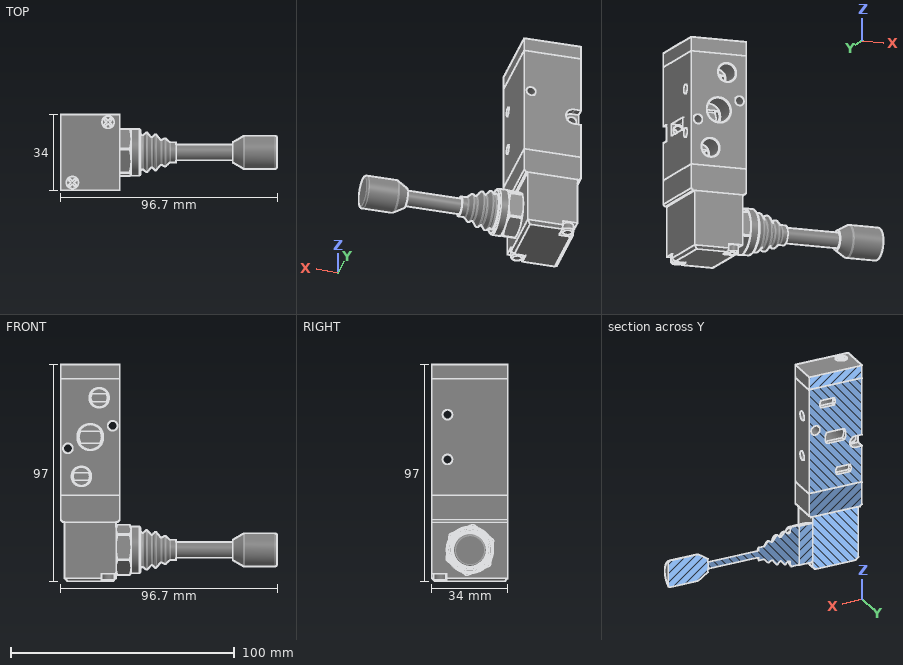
import cadquery as cq
import math

total_height = 97.0
block_width = 26.5
block_depth = 34.0
lever_reach = 96.7

cap_bottom_z = 90.5
spacer_top_z = 38.5
housing_top_z = 26.5
spacer_chamfer = 1.0

housing_width = 23.1
housing_chamfer = 1.5
housing_front_x = housing_width / 2
lever_axis_z = 14.1

screw_radius = 2.7
screw_offset_x = 8.0
screw_offset_y = 13.5
cross_length = 3.9
cross_width = 1.0
cross_depth = 1.0
cross_turn = 45.0
foot_height = 3.5
foot_chamfer = 0.7
foot_pocket_clearance = 0.4

port_centre_z = 64.5
small_port_offset_x = 4.0
small_port_offset_z = 17.6
port_depth = 12.0
port_passage_depth = 3.9
port_chamfer = 0.3
large_port_radius = 5.6
large_passage_radius = 5.0
large_passage_height = 5.3
small_port_radius = 4.2
small_passage_radius = 3.7
small_passage_height = 3.4

hole_radius = 2.1
mount_offset_x = 10.0
mount_offset_z = 5.0
side_hole_offset_z = 10.0
side_hole_y = -10.0

slot_radius = 2.7
slot_length = 14.0
notch_radius = 3.8
notch_length = 4.0

nut_length = 6.7
nut_across_flats = 20.0
nut_corner_radius = 11.35
nut_chamfer = 0.6
nut_turn = 7.3
nut_end_x = housing_front_x + nut_length

collar_radius = 10.5
collar_length = 4.4
collar_chamfer = 0.7
bellows_root_radius = 8.1
bellows_points = [
    (5.2, 7.6),
    (7.0, 9.1),
    (9.2, 6.6),
    (11.0, 8.3),
    (13.4, 5.4),
    (15.2, 6.5),
    (17.4, 4.6),
]
bellows_fillet = 0.4
bellows_end = 20.1
rod_radius = 3.6

knob_radius = 7.5
knob_tip_radius = 4.6
knob_length = 19.9
knob_cone_length = 5.0
knob_fillet = 1.0
knob_end_x = lever_reach - block_width / 2
knob_start_x = knob_end_x - knob_length


def block(width, bottom_z, top_z):
    """Rectangular block of full depth between two heights."""
    height = top_z - bottom_z
    return cq.Workplane("XY", origin=(0, 0, bottom_z)).box(
        width, block_depth, height, centered=(True, True, False)
    )


def cylinder_along_x(radius, start_x, length, y, z):
    return cq.Workplane("YZ", origin=(start_x, y, z)).circle(radius).extrude(length)


def cylinder_along_y(radius, start_y, length, x, z):
    return cq.Workplane("XZ", origin=(x, start_y, z)).circle(radius).extrude(-length)


def revolve_about_lever(profile):
    """Turn an (X, radius) outline into a solid around the lever axis."""
    axis_plane = cq.Workplane("XZ", origin=(0, 0, lever_axis_z))
    return axis_plane.polyline(profile).close().revolve(360, (0, 0, 0), (1, 0, 0))


top_screw_points = [
    (screw_offset_x, screw_offset_y),
    (-screw_offset_x, -screw_offset_y),
]


def make_top_screw(x, y):
    """Flush screw with a cross recess, as deep as the cap."""
    screw = (
        cq.Workplane("XY", origin=(x, y, cap_bottom_z))
        .circle(screw_radius)
        .extrude(total_height - cap_bottom_z)
    )
    for turn in (cross_turn, cross_turn + 90):
        arm = (
            cq.Workplane("XY", origin=(x, y, total_height - cross_depth))
            .transformed(rotate=(0, 0, turn))
            .rect(cross_length, cross_width)
            .extrude(cross_depth)
        )
        screw = screw.cut(arm)
    return screw


def make_cap():
    cap = block(block_width, cap_bottom_z, total_height)
    cap_top = cap.faces(">Z").workplane(origin=(0, 0, 0))
    return cap_top.pushPoints(top_screw_points).hole(2 * screw_radius)


def make_port(x, z, radius, passage_radius, passage_height):
    """Cutter for a chamfered bore that ends in a passage with flat top and bottom."""
    front_y = -block_depth / 2
    bore = cylinder_along_y(radius, front_y, port_depth, x, z)
    mouth = cq.Workplane("XY").add(
        cq.Solid.makeCone(
            radius + port_chamfer,
            radius,
            port_chamfer,
            pnt=cq.Vector(x, front_y, z),
            dir=cq.Vector(0, 1, 0),
        )
    )
    passage_end = port_depth + port_passage_depth
    passage = cylinder_along_y(passage_radius, front_y, passage_end, x, z)
    flats = cq.Workplane("XY", origin=(x, front_y + passage_end / 2, z)).box(
        2 * passage_radius, passage_end, passage_height
    )
    return bore.union(mouth).union(passage.intersect(flats))


def make_side_recess(radius, start_y, length):
    """Cutter from the -X face whose inner end is rounded about the mounting hole axis."""
    axis_x = -mount_offset_x
    axis_z = port_centre_z - mount_offset_z
    straight_length = block_width / 2 - mount_offset_x
    rounded_end = cylinder_along_y(radius, start_y, length, axis_x, axis_z)
    straight = cq.Workplane("XY", origin=(axis_x - straight_length, start_y, axis_z - radius)).box(
        straight_length, length, 2 * radius, centered=False
    )
    return rounded_end.union(straight)


def make_valve_body():
    body = block(block_width, spacer_top_z, cap_bottom_z)

    body = body.cut(
        make_port(0, port_centre_z, large_port_radius, large_passage_radius, large_passage_height)
    )
    for side in (-1, 1):
        small_port = make_port(
            side * small_port_offset_x,
            port_centre_z + side * small_port_offset_z,
            small_port_radius,
            small_passage_radius,
            small_passage_height,
        )
        mount_hole = cylinder_along_y(
            hole_radius,
            -block_depth / 2,
            block_depth,
            side * mount_offset_x,
            port_centre_z + side * mount_offset_z,
        )
        side_hole = cylinder_along_x(
            hole_radius,
            -block_width / 2,
            block_width,
            side_hole_y,
            port_centre_z + side * side_hole_offset_z,
        )
        body = body.cut(small_port).cut(mount_hole).cut(side_hole)

    slot = make_side_recess(slot_radius, -slot_length / 2, slot_length)
    notch = make_side_recess(notch_radius, block_depth / 2 - notch_length, notch_length)
    return body.cut(slot).cut(notch)


def make_spacer():
    spacer = block(block_width, housing_top_z, spacer_top_z)
    return spacer.faces("<Z").edges("|Y").chamfer(spacer_chamfer)


def make_housing():
    housing = block(housing_width, 0, housing_top_z)
    housing = housing.faces("<Z").edges().chamfer(housing_chamfer)
    pocket_reach = screw_radius + foot_pocket_clearance
    for side in (-1, 1):
        foot_x = side * screw_offset_x
        foot_y = -side * screw_offset_y
        inner_x = foot_x - side * pocket_reach
        inner_y = foot_y + side * pocket_reach
        outer_x = side * housing_width / 2
        outer_y = -side * block_depth / 2
        pocket = cq.Workplane("XY").box(
            abs(outer_x - inner_x), abs(outer_y - inner_y), foot_height, centered=(True, True, False)
        )
        pocket = pocket.translate(((inner_x + outer_x) / 2, (inner_y + outer_y) / 2, 0))
        foot = (
            cq.Workplane("XY", origin=(foot_x, foot_y, 0))
            .circle(screw_radius)
            .extrude(foot_height)
            .faces("<Z")
            .chamfer(foot_chamfer)
        )
        housing = housing.cut(pocket).union(foot)
    return housing


def make_nut():
    """Hexagon trimmed by a turned blank that rounds its corners and bevels both ends."""
    hexagon = (
        cq.Workplane("YZ", origin=(housing_front_x, 0, lever_axis_z))
        .transformed(rotate=(0, 0, 30 - nut_turn))
        .polygon(6, nut_across_flats / math.cos(math.radians(30)))
        .extrude(nut_length)
    )
    end_radius = nut_across_flats / 2
    blank = revolve_about_lever(
        [
            (housing_front_x, 0),
            (housing_front_x, end_radius),
            (housing_front_x + nut_chamfer, nut_corner_radius),
            (nut_end_x - nut_chamfer, nut_corner_radius),
            (nut_end_x, end_radius),
            (nut_end_x, 0),
        ]
    )
    return hexagon.intersect(blank)


def make_stem():
    """Collar, rounded bellows folds and rod, turned in one piece."""
    collar_end_x = nut_end_x + collar_length
    bellows_end_x = nut_end_x + bellows_end
    sleeve_radius = bellows_points[-1][1]
    profile = [
        (nut_end_x, 0),
        (nut_end_x, collar_radius),
        (collar_end_x - collar_chamfer, collar_radius),
        (collar_end_x, collar_radius - collar_chamfer),
        (collar_end_x, bellows_root_radius),
    ]
    profile += [(nut_end_x + distance, radius) for distance, radius in bellows_points]
    profile += [
        (bellows_end_x, sleeve_radius),
        (bellows_end_x, rod_radius),
        (knob_start_x, rod_radius),
        (knob_start_x, 0),
    ]
    folds = cq.selectors.BoxSelector(
        (collar_end_x + bellows_fillet, -block_depth, -total_height),
        (bellows_end_x - bellows_fillet, block_depth, total_height),
    )
    return revolve_about_lever(profile).edges("%CIRCLE").edges(folds).fillet(bellows_fillet)


def make_knob():
    cone_end_x = knob_start_x + knob_cone_length
    knob = revolve_about_lever(
        [
            (knob_start_x, 0),
            (knob_start_x, knob_tip_radius),
            (cone_end_x, knob_radius),
            (knob_end_x, knob_radius),
            (knob_end_x, 0),
        ]
    )
    knob_rims = cq.selectors.RadiusNthSelector(-1)
    return knob.edges("%CIRCLE").edges(knob_rims).fillet(knob_fillet)


cap = make_cap()
valve_body = make_valve_body()
spacer = make_spacer()
housing = make_housing()
nut = make_nut()
stem = make_stem()
knob = make_knob()
top_screws = [make_top_screw(x, y).val() for x, y in top_screw_points]

result = cq.Compound.makeCompound(
    [
        cap.val(),
        valve_body.val(),
        spacer.val(),
        housing.val(),
        nut.val(),
        stem.val(),
        knob.val(),
        *top_screws,
    ]
)